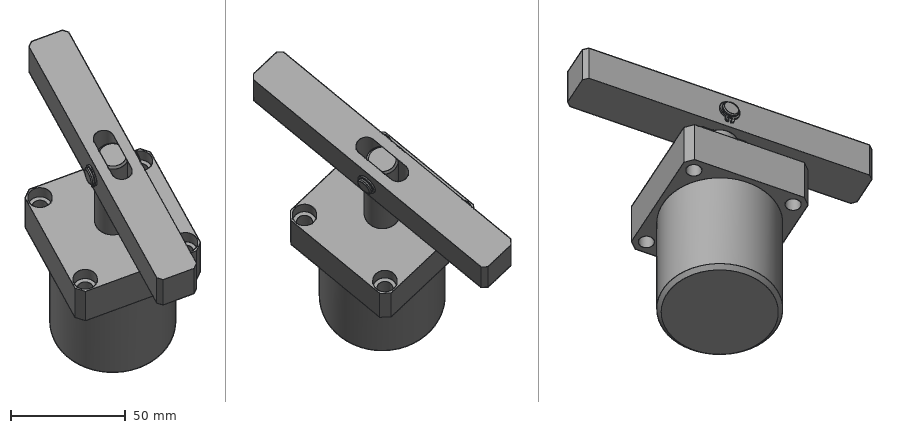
import cadquery as cq

arm_length = 140.0
arm_size = 19.0
arm_chamfer = 2.1
slot_length = 28.0
slot_width = 9.1

barrel_diameter = 55.0
barrel_height = 56.0
barrel_chamfer = 2.0
flange_size = 60.0
flange_height = 22.0
flange_chamfer = 3.5
bolt_spacing = 48.0
bolt_hole_diameter = 7.0
counterbore_diameter = 10.6
counterbore_depth = 6.9

rod_diameter = 16.0
rod_chamfer = 1.0
rod_exposed_height = 30.0
shoulder_clearance = 0.4
tongue_diameter = 14.0
tongue_chamfer = 1.0

pin_diameter = 8.0
pin_length = 24.0
pin_chamfer = 0.5
groove_diameter = 7.5
ring_diameter = 9.7
ring_thickness = 0.8
groove_width = 1.0
lug_width = 4.0
lug_reach = 7.0
lug_corner_radius = 1.1
ring_gap = 1.1
plier_notch_diameter = 2.1
plier_notch_drop = 5.0

flange_top = barrel_height + flange_height
arm_bottom = flange_top + rod_exposed_height
arm_top = arm_bottom + arm_size
pin_level = arm_bottom + arm_size / 2
shoulder_level = arm_bottom - shoulder_clearance
rod_base = barrel_height
arm_face = arm_size / 2
ring_starts = (-arm_face - groove_width, arm_face)


def cross_cylinder(diameter, y_start, length):
    """Cylinder on the pin axis, running from y_start toward +Y."""
    return (
        cq.Workplane("XZ", origin=(0, y_start, pin_level))
        .circle(diameter / 2)
        .extrude(-length)
    )


def make_housing():
    barrel = (
        cq.Workplane("XY")
        .circle(barrel_diameter / 2)
        .extrude(barrel_height)
        .faces("<Z")
        .chamfer(barrel_chamfer)
    )
    flange = (
        cq.Workplane("XY", origin=(0, 0, barrel_height))
        .rect(flange_size, flange_size)
        .extrude(flange_height)
        .edges("|Z")
        .chamfer(flange_chamfer)
        .faces(">Z")
        .workplane()
        .rect(bolt_spacing, bolt_spacing, forConstruction=True)
        .vertices()
        .cboreHole(bolt_hole_diameter, counterbore_diameter, counterbore_depth, depth=flange_height)
    )
    rod_bore = (
        cq.Workplane("XY", origin=(0, 0, rod_base))
        .circle(rod_diameter / 2)
        .extrude(flange_top - rod_base)
    )
    return barrel.union(flange).cut(rod_bore)


def make_rod():
    shaft = (
        cq.Workplane("XY", origin=(0, 0, rod_base))
        .circle(rod_diameter / 2)
        .extrude(shoulder_level - rod_base)
        .faces(">Z")
        .chamfer(rod_chamfer)
    )
    tongue_height = arm_top - shoulder_level
    tongue_round = (
        cq.Workplane("XY", origin=(0, 0, shoulder_level))
        .circle(tongue_diameter / 2)
        .extrude(tongue_height)
        .faces(">Z")
        .chamfer(tongue_chamfer)
    )
    tongue_flats = (
        cq.Workplane("XY", origin=(0, 0, shoulder_level))
        .rect(tongue_diameter, slot_width)
        .extrude(tongue_height)
    )
    pin_hole = cross_cylinder(pin_diameter, -rod_diameter / 2, rod_diameter)
    return shaft.union(tongue_round.intersect(tongue_flats)).cut(pin_hole)


def make_arm():
    bar = (
        cq.Workplane("XY", origin=(0, 0, arm_bottom))
        .rect(arm_length, arm_size)
        .extrude(arm_size)
        .edges("|Z")
        .chamfer(arm_chamfer)
    )
    slot = (
        cq.Workplane("XY", origin=(0, 0, arm_bottom))
        .slot2D(slot_length, slot_width)
        .extrude(arm_size)
    )
    pin_hole = cross_cylinder(pin_diameter, -arm_face, arm_size)
    return bar.cut(slot).cut(pin_hole)


def make_pin():
    pin = cross_cylinder(pin_diameter, -pin_length / 2, pin_length).faces("<Y or >Y").chamfer(pin_chamfer)
    for y_start in ring_starts:
        groove = cross_cylinder(pin_diameter, y_start, groove_width).cut(
            cross_cylinder(groove_diameter, y_start, groove_width)
        )
        pin = pin.cut(groove)
    return pin


def make_retaining_ring(y_start):
    """Open ring, from y_start toward +Y, with two plier lugs that hang below the pin."""
    plane = cq.Workplane("XZ", origin=(0, y_start, pin_level))
    lugs = (
        plane.center(0, -lug_reach / 2)
        .rect(lug_width, lug_reach)
        .extrude(-ring_thickness)
        .edges("|Y and <Z")
        .fillet(lug_corner_radius)
    )
    gap = plane.center(0, -lug_reach / 2).rect(ring_gap, lug_reach).extrude(-ring_thickness)
    plier_notch = (
        plane.center(0, -plier_notch_drop)
        .circle(plier_notch_diameter / 2)
        .extrude(-ring_thickness)
    )
    return (
        cross_cylinder(ring_diameter, y_start, ring_thickness)
        .union(lugs)
        .cut(gap)
        .cut(plier_notch)
        .cut(cross_cylinder(groove_diameter, y_start, ring_thickness))
    )


housing = make_housing()
rod = make_rod()
arm = make_arm()
pin = make_pin()
retaining_rings = [make_retaining_ring(y_start) for y_start in ring_starts]

result = cq.Compound.makeCompound(
    [
        housing.val(),
        rod.val(),
        arm.val(),
        pin.val(),
        *[ring.val() for ring in retaining_rings],
    ]
)